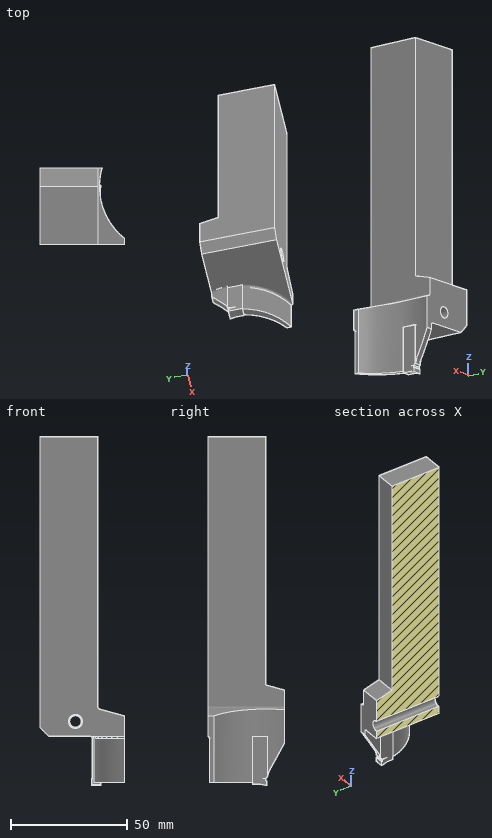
import math
import cadquery as cq

total_height = 150.0
shank_side = 24.9
head_width = 36.5
head_depth = 33.0
head_bottom = 21.1
corner_chamfer = 3.9
side_shoulder_top = 33.1
side_shoulder_tip = 30.0
side_shoulder_fillet = 1.2
back_shoulder_top = 43.3
back_shoulder_tip = 41.1

screw_x = 15.3
screw_z = 27.6
screw_diameter = 5.0
countersink_diameter = 6.0
countersink_angle = 90.0

cutting_level = shank_side
blade_bottom = 1.3
concave_radius = 28.3
concave_min_x = 25.6
convex_radius = 28.2
convex_min_x = 22.6
blade_root_fillet = 0.9
concave_center_x = concave_min_x + concave_radius
convex_center_x = convex_min_x + convex_radius

jaw_slope_top = 18.3
jaw_nose_y = 26.2
jaw_nose_z = 6.0
jaw_tip_z = 3.7

insert_left = 22.5
insert_right = 26.1
insert_front = 19.2
insert_back = 25.6
insert_bottom = 0.6
tip_left = 22.2
tip_right = 26.2
tip_front = 22.2
tip_back = 25.3
tip_top = 3.0
tip_ledge = 2.1
tip_front_lift = 0.6
tip_side_relief = 0.3
chip_groove_y = 24.9


def side_prism(points, x_start, x_end):
    """Extrude a (Y, Z) outline along X."""
    return cq.Workplane("YZ").workplane(offset=x_start).polyline(points).close().extrude(x_end - x_start)


def make_shank_and_head():
    """Shank and head, with the side shoulder, bottom chamfer and sloped back shoulder."""
    outline = [
        (corner_chamfer, head_bottom),
        (head_width, head_bottom),
        (head_width, side_shoulder_tip),
        (shank_side, side_shoulder_top),
        (shank_side, total_height),
        (0, total_height),
        (0, head_bottom + corner_chamfer),
    ]
    body = cq.Workplane("XZ").polyline(outline).close().extrude(-head_depth)
    inner_corner = cq.selectors.NearestToPointSelector((shank_side, head_depth / 2, side_shoulder_top))
    body = body.edges(inner_corner).fillet(side_shoulder_fillet)
    behind_shank = [
        (shank_side, back_shoulder_top),
        (head_depth, back_shoulder_tip),
        (head_depth, total_height),
        (shank_side, total_height),
    ]
    return body.cut(side_prism(behind_shank, 0, head_width))


def make_blade_blank():
    """Block under the head whose -X side is a convex arc."""
    def convex_x(y):
        return convex_center_x - math.sqrt(convex_radius**2 - (y - cutting_level) ** 2)

    front_y = cutting_level - math.sqrt(convex_radius**2 - (convex_center_x - head_width) ** 2)
    return (
        cq.Workplane("XY").workplane(offset=blade_bottom)
        .moveTo(head_width, front_y)
        .threePointArc((convex_min_x, cutting_level), (convex_x(head_depth), head_depth))
        .lineTo(head_width, head_depth)
        .close()
        .extrude(head_bottom - blade_bottom)
    )


def make_insert():
    """Bar with a wider cutting tip at its lower end."""
    bar_outline = [
        (insert_front, insert_bottom),
        (chip_groove_y, insert_bottom),
        (chip_groove_y, tip_top),
        (insert_back, jaw_tip_z),
        (insert_back, head_bottom),
        (insert_front, head_bottom),
    ]
    bar = side_prism(bar_outline, insert_left, insert_right)
    tip_outline = [
        (tip_front, tip_front_lift),
        (tip_back, 0),
        (tip_back, tip_ledge),
        (chip_groove_y, tip_ledge),
        (chip_groove_y, tip_top),
        (tip_front, tip_top),
    ]
    tip_plan = [
        (tip_left, tip_back),
        (tip_right, tip_back),
        (tip_right - tip_side_relief, tip_front),
        (tip_left + tip_side_relief, tip_front),
    ]
    tip = side_prism(tip_outline, tip_left, tip_right)
    tip = tip.intersect(cq.Workplane("XY").polyline(tip_plan).close().extrude(tip_top))
    return bar.union(tip)


def cut_screw_hole(holder):
    """Through hole along Y with a countersink on the front face."""
    return (
        holder.copyWorkplane(cq.Workplane("XZ", origin=(screw_x, 0, screw_z)))
        .cskHole(screw_diameter, countersink_diameter, countersink_angle)
    )


def make_holder():
    """Shank, head and blade, with the concave side, the insert seat, the jaw and the screw hole."""
    holder = make_shank_and_head().union(make_blade_blank())
    blade_root = cq.selectors.NearestToPointSelector((convex_min_x, cutting_level, head_bottom))
    holder = holder.edges(blade_root).fillet(blade_root_fillet)
    concave_side = (
        cq.Workplane("XY").center(concave_center_x, cutting_level)
        .circle(concave_radius).extrude(side_shoulder_top)
    )
    seat_and_jaw_slope = [
        (insert_front, 0),
        (insert_front, head_bottom),
        (insert_back, head_bottom),
        (insert_back, jaw_tip_z),
        (jaw_nose_y, jaw_nose_z),
        (head_depth, jaw_slope_top),
        (head_depth, 0),
    ]
    holder = holder.cut(concave_side)
    holder = holder.cut(side_prism(seat_and_jaw_slope, 0, head_width))
    return cut_screw_hole(holder)


holder = make_holder()
insert = make_insert()
result = cq.Compound.makeCompound([holder.val(), insert.val()])